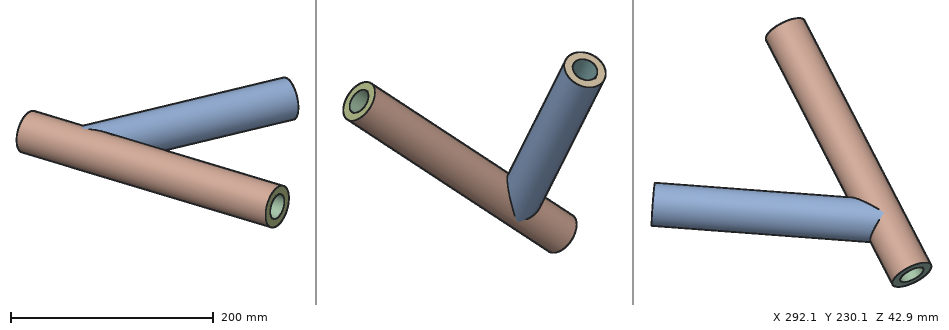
import cadquery as cq
import math

OUTER_DIAMETER = 42.9
BORE_DIAMETER = 25.48
RUN_LENGTH = 292.1
BRANCH_OFFSET = 63.5
BRANCH_LENGTH = 228.6
BRANCH_ANGLE = 60.0

crossing = cq.Vector(0, 0, 0)
run_start = cq.Vector(-BRANCH_OFFSET, 0, 0)
run_direction = cq.Vector(1, 0, 0)
branch_angle_rad = math.radians(BRANCH_ANGLE)
branch_direction = cq.Vector(math.cos(branch_angle_rad), math.sin(branch_angle_rad), 0)


def rod(diameter, length, start, direction):
    """Solid cylinder that runs from start along direction."""
    return cq.Workplane(cq.Solid.makeCylinder(diameter / 2, length, start, direction))


def run_and_branch(diameter):
    """Joined run and branch cylinders of equal diameter; the branch starts at the crossing."""
    run = rod(diameter, RUN_LENGTH, run_start, run_direction)
    branch = rod(diameter, BRANCH_LENGTH, crossing, branch_direction)
    return run.union(branch)


body = run_and_branch(OUTER_DIAMETER)
passages = run_and_branch(BORE_DIAMETER)

result = body.cut(passages)